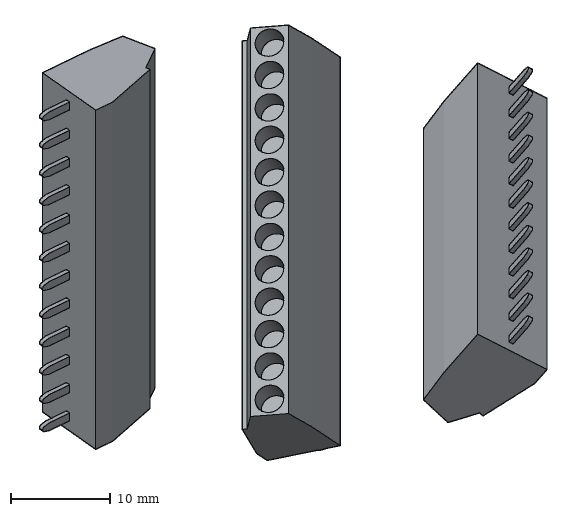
import cadquery as cq

pole_count = 12
length = 42.0
pitch = length / pole_count

width = 8.4
depth = 11.4
left_break_y = 6.05
left_shoulder_inset = 0.3
left_shoulder_y = 10.25
ridge_inset = 4.05
notch_inset = 5.95
notch_y = 8.55
step_inset = 6.45
step_y = 8.7
right_break_y = 2.23

screw_hole_diameter = 2.95
screw_hole_depth = 2.95

pin_length = 3.53
pin_thickness = 0.5
pin_height = 0.95
taper_start_from_tip = 0.85
nose_radius = 0.35

left_x = -width / 2
right_x = width / 2
ridge_x = left_x + ridge_inset
shoulder_x = left_x + left_shoulder_inset


def pole_heights():
    """Centre height of every pole, bottom to top."""
    return [(index + 0.5) * pitch for index in range(pole_count)]


def make_housing():
    outline = [
        (left_x, 0),
        (right_x, 0),
        (right_x, right_break_y),
        (left_x + step_inset, step_y),
        (left_x + notch_inset, notch_y),
        (ridge_x, depth),
        (shoulder_x, left_shoulder_y),
        (left_x, left_break_y),
    ]
    return cq.Workplane("XY").polyline(outline).close().extrude(length)


def make_screw_hole(center_z):
    """Blind cylinder entering at right angles to the sloping face."""
    run = ridge_x - shoulder_x
    rise = depth - left_shoulder_y
    face_center = cq.Vector((ridge_x + shoulder_x) / 2, (depth + left_shoulder_y) / 2, center_z)
    inward = cq.Vector(rise, -run, 0)
    return cq.Solid.makeCylinder(screw_hole_diameter / 2, screw_hole_depth, face_center, inward)


def make_pin(center_z):
    """Flat pin with tapered edges leading to a semicircular nose."""
    half_height = pin_height / 2
    taper_start_y = taper_start_from_tip - pin_length
    nose_center_y = nose_radius - pin_length
    return (
        cq.Workplane("YZ", origin=(ridge_x - pin_thickness / 2, 0, center_z))
        .moveTo(0, -half_height)
        .lineTo(taper_start_y, -half_height)
        .lineTo(nose_center_y, -nose_radius)
        .threePointArc((-pin_length, 0), (nose_center_y, nose_radius))
        .lineTo(taper_start_y, half_height)
        .lineTo(0, half_height)
        .close()
        .extrude(pin_thickness)
    )


result = make_housing()
for pole_z in pole_heights():
    result = result.cut(cq.Workplane(make_screw_hole(pole_z)))
    result = result.union(make_pin(pole_z))